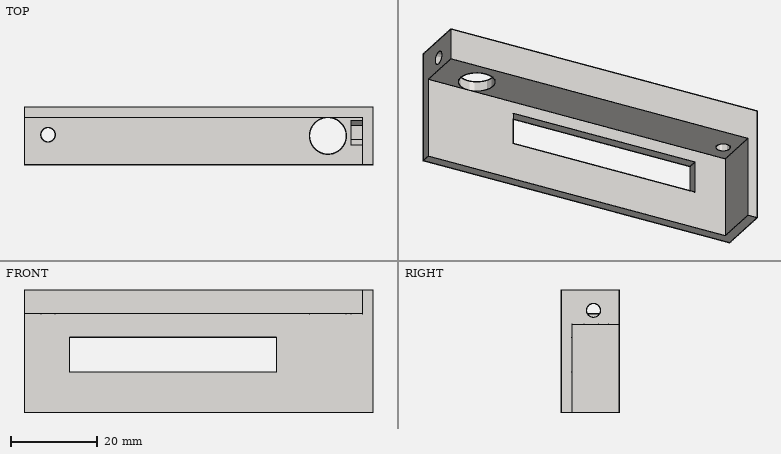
import cadquery as cq
import math

length = 81.0
depth = 13.5
height = 28.5

wall = 2.5
lip_wall = wall
lip_height = 5.5
deck_height = height - lip_height

window_length = 48.0
window_height = 8.0
window_left = 10.5
window_bottom = 9.5

screw_hole_diameter = 3.3
screw_hole_x = 5.5
screw_hole_y = 7.0
port_diameter = 8.5
port_x = 70.5
port_y = depth / 2

bolt_hole_diameter = 3.2
bolt_y = 7.5
bolt_rise = 0.75
bolt_z = deck_height + bolt_rise
nut_across_flats = 5.7
nut_across_corners = nut_across_flats / math.cos(math.pi / 6)
nut_recess_length = 2.7
lip_inner_x = length - lip_wall


def corner_box(x, y, z, x_size, y_size, z_size):
    """Box with its lowest corner at (x, y, z)."""
    return cq.Workplane("XY").box(x_size, y_size, z_size, centered=False).translate((x, y, z))


def make_shell():
    """Hollow body, open at the back, the bottom and the +X end."""
    body = corner_box(0, 0, 0, length, depth, deck_height)
    cavity = corner_box(wall, wall, 0, length - wall, depth - wall, deck_height - wall)
    return body.cut(cavity)


def make_lips():
    """Upright lips along the back edge and the +X end of the deck."""
    back_lip = corner_box(0, depth - lip_wall, deck_height, length, lip_wall, lip_height)
    end_lip = corner_box(lip_inner_x, 0, deck_height, lip_wall, depth, lip_height)
    return back_lip.union(end_lip)


def deck_hole(x, y, diameter):
    """Vertical cutter through the deck."""
    deck_bottom = cq.Workplane("XY", origin=(x, y, deck_height - wall))
    return deck_bottom.circle(diameter / 2).extrude(wall)


def make_bolt_hole():
    """Horizontal cutter through the end lip and the deck edge below it."""
    lip_face = cq.Workplane("YZ", origin=(lip_inner_x, bolt_y, bolt_z))
    return lip_face.circle(bolt_hole_diameter / 2).extrude(lip_wall)


def make_nut_recess():
    """Hexagonal cutter, flat side down, sunk into the deck beside the end lip."""
    recess_start = cq.Workplane("YZ", origin=(lip_inner_x - nut_recess_length, bolt_y, bolt_z))
    return recess_start.polygon(6, nut_across_corners).extrude(nut_recess_length)


window = corner_box(window_left, 0, window_bottom, window_length, wall, window_height)

result = make_shell().union(make_lips())
result = result.cut(window)
result = result.cut(deck_hole(screw_hole_x, screw_hole_y, screw_hole_diameter))
result = result.cut(deck_hole(port_x, port_y, port_diameter))
result = result.cut(make_bolt_hole())
result = result.cut(make_nut_recess())